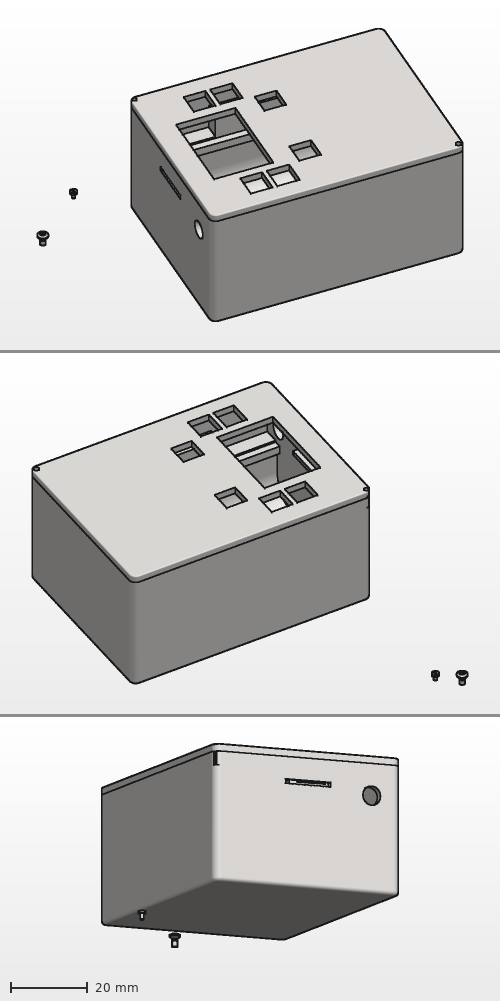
import cadquery as cq

width = 53.4
depth = 72.4
height = 36.4
wall = 2.0
corner_radius = 2.0
bottom_fillet = 1.0
lid_thickness = 2.0
lid_edge_fillet = 0.4
case_height = height - lid_thickness
front = -depth / 2

cavity_length = depth - 2 * wall
cavity_x = 0.2
ledge_width = 47.6
ledge_z = height - 7.5
shelf_width = 38.9
shelf_z = height - 15.2
lip_opening = 34.8
lip_thickness = 2.4
trough_width = 37.3
trough_radius = 8.5
trough_floor_z = 3.0

recess_floor_z = shelf_z + 0.5
right_recess_length = 17.0
left_recess_length = 19.5

jack_diameter = 5.0
jack_x = 18.4
jack_z = height - 10.5
slot_left = -6.3
slot_right = 6.6
slot_height = 1.2
slot_top = height - 7.9

display_window = (-11.7, 12.8, -29.4, -12.4)
left_button_x = (-21.3, -14.7)
right_button_x = (15.2, 22.1)
button_rows_y = [(-23.0, -16.8), (-15.4, -9.0)]
small_windows = [(-13.9, -7.6, -5.95, 0.3), (8.4, 14.9, -5.95, 0.3)]

front_hole_offset = 0.87
front_lid_hole = 1.3
front_case_hole = 1.5
back_hole_inset = 1.35
back_lid_hole = 1.5
back_case_hole = 1.3
case_hole_depth = 3.6
front_hole_inset = corner_radius - front_hole_offset
front_hole_at = (-width / 2 + front_hole_inset, front + front_hole_inset)
back_hole_at = (width / 2 - back_hole_inset, depth / 2 - back_hole_inset)

reader_width = 11.2
reader_right = 6.3
reader_setback = 1.0
reader_length = 3.6
contact_count = 8
contact_pitch = 1.1
contact_width = 0.5
contact_depth = 0.4
contact_length = 1.8
first_contact_x = -2.3

slotted_at = (-50.1, -41.6)
slotted_top = -10.9
slotted_head_diameter = 2.0
slotted_head_height = 0.6
slotted_shank_diameter = 1.0
slotted_length = 2.3
slotted_tip_chamfer = 0.225
drive_slot_width = 0.45
drive_slot_depth = 0.45

countersunk_top = -18.4
countersunk_length = 3.4
crown_diameter = 1.5
crown_height = 0.4
rim_diameter = 3.0
rim_height = 0.4
cone_height = 0.5
countersunk_shank_diameter = 1.5
overall_depth = 90.1
countersunk_at = (-45.6, depth / 2 - overall_depth + rim_diameter / 2)
neck_diameter = 1.3
neck_height = 0.225
neck_count = 2
socket_diameter = 1.0
socket_depth = 0.5


def box_between(left, right, y_front, y_back, bottom, top):
    """Box given by its limits along X, Y and Z."""
    return cq.Workplane("XY").box(
        right - left, y_back - y_front, top - bottom, centered=False
    ).translate((left, y_front, bottom))


def upright_cylinder(centre, diameter, bottom, top):
    """Cylinder along Z standing on the height bottom."""
    return (
        cq.Workplane("XY", origin=(centre[0], centre[1], bottom))
        .circle(diameter / 2)
        .extrude(top - bottom)
    )


def rounded_block(bottom, top):
    """Enclosure outline with rounded vertical corners."""
    return (
        box_between(-width / 2, width / 2, front, depth / 2, bottom, top)
        .edges("|Z")
        .fillet(corner_radius)
    )


def make_cavity():
    """Stacked spaces from the case rim down to the trough, all running along Y."""
    y_front = -cavity_length / 2
    y_back = cavity_length / 2
    lip_bottom = shelf_z - lip_thickness

    def space(space_width, bottom, top):
        half_width = space_width / 2
        return box_between(cavity_x - half_width, cavity_x + half_width, y_front, y_back, bottom, top)

    trough = space(trough_width, trough_floor_z, lip_bottom).edges("|Y and <Z").fillet(trough_radius)
    cavity = space(ledge_width, ledge_z, case_height)
    cavity = cavity.union(space(shelf_width, shelf_z, ledge_z))
    cavity = cavity.union(space(lip_opening, lip_bottom, shelf_z))
    return cavity.union(trough)


def make_side_recess(side, length):
    """Pocket that lowers the ledge behind the front wall; side is -1 or 1."""
    inner = cavity_x + side * shelf_width / 2
    outer = cavity_x + side * ledge_width / 2
    y_front = front + wall
    return box_between(
        min(inner, outer), max(inner, outer), y_front, y_front + length, recess_floor_z, ledge_z
    )


def make_case():
    case = rounded_block(0, case_height).faces("<Z").edges().fillet(bottom_fillet)
    case = case.cut(make_cavity())
    case = case.cut(make_side_recess(1, right_recess_length))
    case = case.cut(make_side_recess(-1, left_recess_length))

    jack_hole = (
        cq.Workplane("XZ", origin=(jack_x, front, jack_z))
        .circle(jack_diameter / 2)
        .extrude(-wall)
    )
    card_slot = box_between(
        slot_left, slot_right, front, front + wall, slot_top - slot_height, slot_top
    )
    case = case.cut(jack_hole).cut(card_slot)

    hole_bottom = case_height - case_hole_depth
    case = case.cut(upright_cylinder(front_hole_at, front_case_hole, hole_bottom, case_height))
    return case.cut(upright_cylinder(back_hole_at, back_case_hole, hole_bottom, case_height))


def make_lid():
    lid = rounded_block(case_height, height).faces(">Z").edges().fillet(lid_edge_fillet)
    buttons = [x_span + y_span for x_span in (left_button_x, right_button_x) for y_span in button_rows_y]
    for opening in [display_window] + small_windows + buttons:
        lid = lid.cut(box_between(*opening, case_height, height))
    lid = lid.cut(upright_cylinder(front_hole_at, front_lid_hole, case_height, height))
    return lid.cut(upright_cylinder(back_hole_at, back_lid_hole, case_height, height))


def make_card_reader():
    """Flat block in the card slot with a row of contact grooves along its top."""
    y_front = front + reader_setback
    reader = box_between(
        reader_right - reader_width,
        reader_right,
        y_front,
        y_front + reader_length,
        slot_top - slot_height,
        slot_top,
    )
    for index in range(contact_count):
        left = first_contact_x + index * contact_pitch - contact_width / 2
        groove = box_between(
            left, left + contact_width, y_front, y_front + contact_length, slot_top - contact_depth, slot_top
        )
        reader = reader.cut(groove)
    return reader


def make_slotted_screw():
    x, y = slotted_at
    head_bottom = slotted_top - slotted_head_height
    tip = slotted_top - slotted_length
    shank = (
        upright_cylinder(slotted_at, slotted_shank_diameter, tip, head_bottom)
        .faces("<Z")
        .chamfer(slotted_tip_chamfer)
    )
    head = upright_cylinder(slotted_at, slotted_head_diameter, head_bottom, slotted_top)
    head_radius = slotted_head_diameter / 2
    drive_slot = box_between(
        x - head_radius,
        x + head_radius,
        y - drive_slot_width / 2,
        y + drive_slot_width / 2,
        slotted_top - drive_slot_depth,
        slotted_top,
    )
    return head.union(shank).cut(drive_slot)


def make_countersunk_screw():
    x, y = countersunk_at
    shank_radius = countersunk_shank_diameter / 2
    rim_radius = rim_diameter / 2
    rim_top = -crown_height
    rim_bottom = rim_top - rim_height
    cone_bottom = rim_bottom - cone_height
    screw = (
        cq.Workplane("XZ")
        .moveTo(0, 0)
        .lineTo(crown_diameter / 2, 0)
        .lineTo(rim_radius, rim_top)
        .lineTo(rim_radius, rim_bottom)
        .lineTo(shank_radius, cone_bottom)
        .lineTo(shank_radius, -countersunk_length)
        .lineTo(0, -countersunk_length)
        .close()
        .revolve(360, (0, 0), (0, 1))
    )
    for index in range(neck_count):
        neck_top = cone_bottom - 2 * index * neck_height
        ring = (
            cq.Workplane("XY", origin=(0, 0, neck_top - neck_height))
            .circle(shank_radius)
            .circle(neck_diameter / 2)
            .extrude(neck_height)
        )
        screw = screw.cut(ring)
    screw = screw.cut(upright_cylinder((0, 0), socket_diameter, -socket_depth, 0))
    return screw.translate((x, y, countersunk_top))


case = make_case()
lid = make_lid()
card_reader = make_card_reader()
slotted_screw = make_slotted_screw()
countersunk_screw = make_countersunk_screw()

result = cq.Compound.makeCompound(
    [case.val(), lid.val(), card_reader.val(), slotted_screw.val(), countersunk_screw.val()]
)